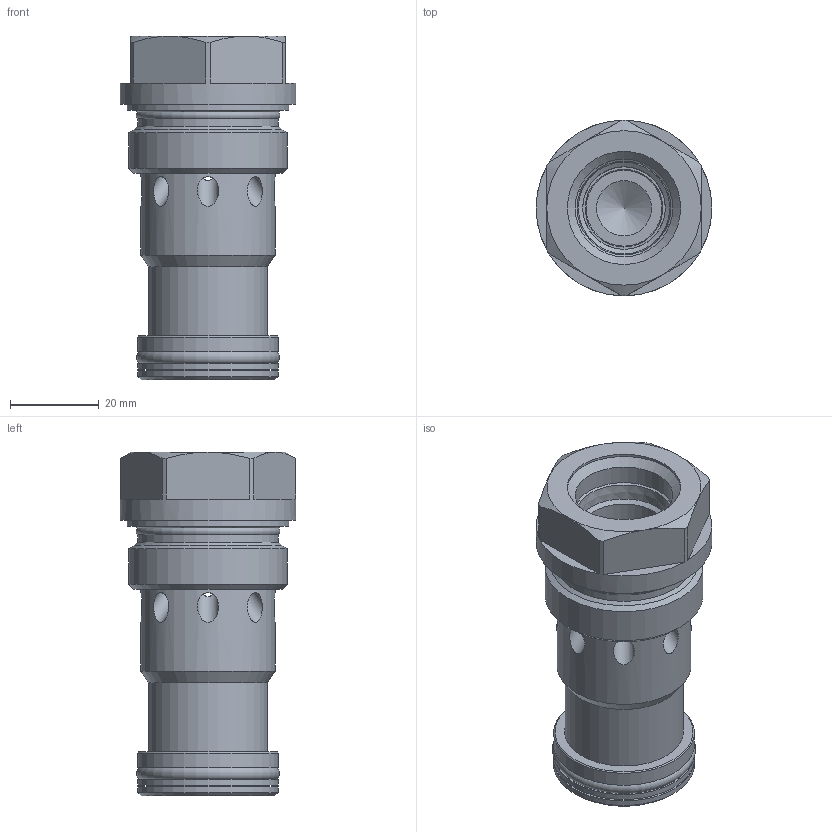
import cadquery as cq
import math

TOTAL_HEIGHT = 77.42
FLANGE_RADIUS = 19.8

HEX_SIDES = 6
HALF_HEX_STEP = 180 / HEX_SIDES
HEX_ACROSS_FLATS = 34.8
HEX_BOTTOM = 66.85
HEX_CHAMFER_ANGLE = 30.0
HEX_TOP_RADIUS = 17.4

FLANGE_BOTTOM = 62.05
COLLAR_RADIUS = 18.2
COLLAR_BOTTOM = 60.75
SEAT_CHAMFER = 0.4
UPPER_SEAL_TOP = COLLAR_BOTTOM - SEAT_CHAMFER
UPPER_SEAL_RADIUS = 16.2
UPPER_SEAL_BOTTOM = 58.8
NECK_RADIUS = 15.85
NECK_BOTTOM = 57.1

LAND_RADIUS = 17.85
LAND_TOP = 55.65
LAND_BOTTOM = 47.65
LAND_LEAD_IN_HEIGHT = 0.75
LAND_LEAD_IN_RADIUS = 16.6
LAND_CHAMFER = 1.15

BODY_TOP = LAND_BOTTOM - LAND_CHAMFER
BODY_RADIUS = 15.1
BODY_BOTTOM = 28.1
WAIST_RADIUS = 13.4
WAIST_TOP = 25.5

FOOT_RADIUS = 15.85
FOOT_TOP = 9.9
FOOT_TOP_CHAMFER = 0.25
LOWER_SEAL_TOP = 6.35
LOWER_SEAL_BOTTOM = 3.75
LOWER_SEAL_RADIUS = 16.1
LOWER_SEAL_ROOT_RADIUS = 15.4
SNAP_GROOVE_TOP = 2.4
SNAP_GROOVE_BOTTOM = 2.0
SNAP_GROOVE_RADIUS = 13.7
FOOT_BOTTOM_CHAMFER_HEIGHT = 0.75
FOOT_BOTTOM_CHAMFER = 0.8

MOUTH_RADIUS = 12.75
MOUTH_DEPTH = 0.6
COUNTERSINK_DEPTH = 2.3
UPPER_BORE_RADIUS = 11.0
UPPER_BORE_DEPTH = 6.6
MIDDLE_BORE_TOP_RADIUS = 10.55
MIDDLE_BORE_BOTTOM_RADIUS = 10.3
MIDDLE_BORE_TOP_DEPTH = 6.9
MIDDLE_BORE_DEPTH = 10.6
LOWER_BORE_RADIUS = 9.3
LOWER_BORE_TOP_DEPTH = 11.3
LOWER_BORE_FLOOR = 44.0
SPOOL_BORE_RADIUS = 8.75
SPOOL_BORE_FLOOR = 42.0
SPOOL_BORE_CHAMFER = 0.2
DRILL_RADIUS = 6.2
DRILL_POINT_ANGLE = 118.0

PORT_COUNT = 8
PORT_DIAMETER = 4.75
PORT_HEIGHT = 42.45
PORT_RISE_ANGLE = 45.0
PORT_OUTSIDE_LENGTH = 4.0
PORT_INSIDE_LENGTH = 11.0


def make_hex_head():
    """Hexagon with corners on the Y axis, trimmed round and chamfered on top."""
    height = TOTAL_HEIGHT - HEX_BOTTOM
    corner_diameter = HEX_ACROSS_FLATS / math.cos(math.radians(HALF_HEX_STEP))
    hexagon = (
        cq.Workplane("XY")
        .workplane(offset=HEX_BOTTOM)
        .polygon(HEX_SIDES, corner_diameter)
        .extrude(height)
        .rotate((0, 0, 0), (0, 0, 1), HALF_HEX_STEP)
    )
    chamfer_drop = (FLANGE_RADIUS - HEX_TOP_RADIUS) * math.tan(math.radians(HEX_CHAMFER_ANGLE))
    trim = (
        cq.Workplane("XZ")
        .moveTo(0, HEX_BOTTOM)
        .lineTo(FLANGE_RADIUS, HEX_BOTTOM)
        .lineTo(FLANGE_RADIUS, TOTAL_HEIGHT - chamfer_drop)
        .lineTo(HEX_TOP_RADIUS, TOTAL_HEIGHT)
        .lineTo(0, TOTAL_HEIGHT)
        .close()
        .revolve(360, (0, 0, 0), (0, 1, 0))
    )
    return hexagon.intersect(trim)


def make_turned_body():
    """Everything below the hexagon, as one turned profile from top to bottom."""
    upper_seal_middle = (UPPER_SEAL_TOP + UPPER_SEAL_BOTTOM) / 2
    lower_seal_middle = (LOWER_SEAL_TOP + LOWER_SEAL_BOTTOM) / 2
    return (
        cq.Workplane("XZ")
        .moveTo(0, HEX_BOTTOM)
        .lineTo(FLANGE_RADIUS, HEX_BOTTOM)
        .lineTo(FLANGE_RADIUS, FLANGE_BOTTOM)
        .lineTo(COLLAR_RADIUS, FLANGE_BOTTOM)
        .lineTo(COLLAR_RADIUS, COLLAR_BOTTOM)
        .lineTo(UPPER_SEAL_RADIUS + SEAT_CHAMFER, COLLAR_BOTTOM)
        .lineTo(NECK_RADIUS, UPPER_SEAL_TOP)
        .threePointArc((UPPER_SEAL_RADIUS, upper_seal_middle), (NECK_RADIUS, UPPER_SEAL_BOTTOM))
        .lineTo(NECK_RADIUS, NECK_BOTTOM)
        .lineTo(LAND_LEAD_IN_RADIUS, LAND_TOP + LAND_LEAD_IN_HEIGHT)
        .lineTo(LAND_RADIUS, LAND_TOP)
        .lineTo(LAND_RADIUS, LAND_BOTTOM)
        .lineTo(LAND_RADIUS - LAND_CHAMFER, BODY_TOP)
        .lineTo(BODY_RADIUS, BODY_TOP)
        .lineTo(BODY_RADIUS, BODY_BOTTOM)
        .lineTo(WAIST_RADIUS, WAIST_TOP)
        .lineTo(WAIST_RADIUS, FOOT_TOP)
        .lineTo(FOOT_RADIUS - FOOT_TOP_CHAMFER, FOOT_TOP)
        .lineTo(FOOT_RADIUS, FOOT_TOP - FOOT_TOP_CHAMFER)
        .lineTo(FOOT_RADIUS, LOWER_SEAL_TOP)
        .lineTo(LOWER_SEAL_ROOT_RADIUS, LOWER_SEAL_TOP)
        .threePointArc(
            (LOWER_SEAL_RADIUS, lower_seal_middle),
            (LOWER_SEAL_ROOT_RADIUS, LOWER_SEAL_BOTTOM),
        )
        .lineTo(FOOT_RADIUS, LOWER_SEAL_BOTTOM)
        .lineTo(FOOT_RADIUS, SNAP_GROOVE_TOP)
        .lineTo(SNAP_GROOVE_RADIUS, SNAP_GROOVE_TOP)
        .lineTo(SNAP_GROOVE_RADIUS, SNAP_GROOVE_BOTTOM)
        .lineTo(FOOT_RADIUS, SNAP_GROOVE_BOTTOM)
        .lineTo(FOOT_RADIUS, FOOT_BOTTOM_CHAMFER_HEIGHT)
        .lineTo(FOOT_RADIUS - FOOT_BOTTOM_CHAMFER, 0)
        .lineTo(0, 0)
        .close()
        .revolve(360, (0, 0, 0), (0, 1, 0))
    )


def make_bore():
    """Blind stepped bore from the top face, ending in a drill point."""
    point_depth = DRILL_RADIUS / math.tan(math.radians(DRILL_POINT_ANGLE / 2))
    return (
        cq.Workplane("XZ")
        .moveTo(0, TOTAL_HEIGHT)
        .lineTo(MOUTH_RADIUS, TOTAL_HEIGHT)
        .lineTo(MOUTH_RADIUS, TOTAL_HEIGHT - MOUTH_DEPTH)
        .lineTo(UPPER_BORE_RADIUS, TOTAL_HEIGHT - COUNTERSINK_DEPTH)
        .lineTo(UPPER_BORE_RADIUS, TOTAL_HEIGHT - UPPER_BORE_DEPTH)
        .lineTo(MIDDLE_BORE_TOP_RADIUS, TOTAL_HEIGHT - MIDDLE_BORE_TOP_DEPTH)
        .lineTo(MIDDLE_BORE_BOTTOM_RADIUS, TOTAL_HEIGHT - MIDDLE_BORE_DEPTH)
        .lineTo(LOWER_BORE_RADIUS, TOTAL_HEIGHT - LOWER_BORE_TOP_DEPTH)
        .lineTo(LOWER_BORE_RADIUS, LOWER_BORE_FLOOR)
        .lineTo(SPOOL_BORE_RADIUS, LOWER_BORE_FLOOR)
        .lineTo(SPOOL_BORE_RADIUS, SPOOL_BORE_FLOOR + SPOOL_BORE_CHAMFER)
        .lineTo(SPOOL_BORE_RADIUS - SPOOL_BORE_CHAMFER, SPOOL_BORE_FLOOR)
        .lineTo(DRILL_RADIUS, SPOOL_BORE_FLOOR)
        .lineTo(0, SPOOL_BORE_FLOOR - point_depth)
        .close()
        .revolve(360, (0, 0, 0), (0, 1, 0))
    )


def make_port(angle):
    """Slanted cross port through the body wall, rising toward the axis."""
    rise = math.radians(PORT_RISE_ANGLE)
    inward = cq.Vector(-math.cos(rise), 0, math.sin(rise))
    start = cq.Vector(BODY_RADIUS, 0, PORT_HEIGHT) - inward * PORT_OUTSIDE_LENGTH
    length = PORT_OUTSIDE_LENGTH + PORT_INSIDE_LENGTH
    drill = cq.Solid.makeCylinder(PORT_DIAMETER / 2, length, start, inward)
    return cq.Workplane(drill).rotate((0, 0, 0), (0, 0, 1), angle)


result = make_turned_body().union(make_hex_head()).cut(make_bore())
for index in range(PORT_COUNT):
    result = result.cut(make_port(index * 360 / PORT_COUNT))